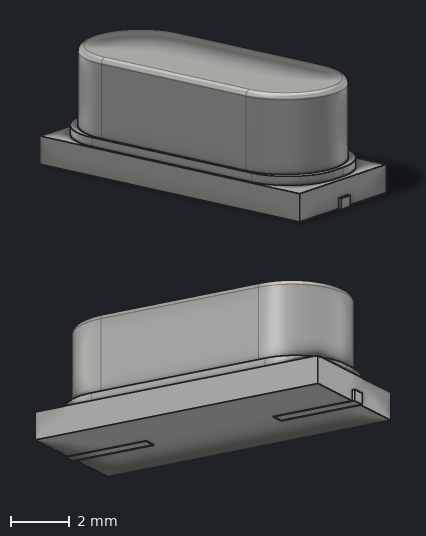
import cadquery as cq

base_length = 11.41
base_width = 4.7
base_height = 1.01

flange_length = 11.0
flange_width = 4.5
flange_height = 0.32
flange_corner_radius = 2.0

can_width = 4.3
can_length = 10.65
rim_radius = 0.2

overall_length = 11.61
overall_height = 4.2
lead_width = 0.5
lead_tab_height = 0.41
foot_drop = 0.02
foot_length = 3.27
left_lead_y = -0.09
right_lead_y = 0.02

can_height = overall_height - foot_drop - base_height - flange_height


def make_base():
    return cq.Workplane("XY").box(base_length, base_width, base_height, centered=(True, True, False))


def make_flange():
    plate = cq.Workplane("XY", origin=(0, 0, base_height)).box(
        flange_length, flange_width, flange_height, centered=(True, True, False)
    )
    return plate.edges("|Z").fillet(flange_corner_radius)


def make_can():
    can = (
        cq.Workplane("XY", origin=(0, 0, base_height + flange_height))
        .slot2D(can_length, can_width)
        .extrude(can_height)
    )
    return can.faces(">Z").edges().fillet(rim_radius)


def make_lead(center_y):
    """L-shaped lead wrapped around the lower edge of the -X end, centred on Y = center_y."""
    outer_x = -overall_length / 2
    foot_end_x = outer_x + foot_length
    tab_top_z = lead_tab_height - foot_drop
    profile = [
        (outer_x, -foot_drop),
        (foot_end_x, -foot_drop),
        (foot_end_x, 0),
        (-base_length / 2, 0),
        (-base_length / 2, tab_top_z),
        (outer_x, tab_top_z),
    ]
    side_plane = cq.Workplane("XZ", origin=(0, center_y, 0))
    return side_plane.polyline(profile).close().extrude(lead_width / 2, both=True)


left_lead = make_lead(left_lead_y)
right_lead = make_lead(right_lead_y).mirror("YZ")

result = make_base().union(make_flange()).union(make_can()).union(left_lead).union(right_lead)